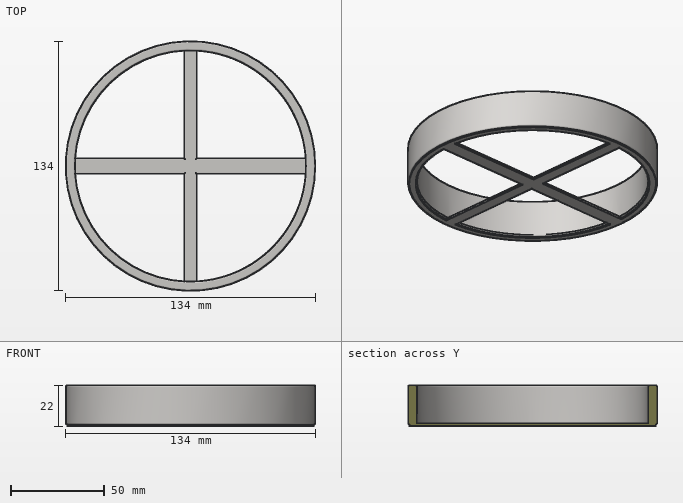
import cadquery as cq

outer_diameter = 134.0
inner_diameter = 124.0
height = 22.0
rim_fillet = 1.0

foot_height = 0.8
foot_inset = 0.8

x_bar_width = 8.5
y_bar_width = 6.8
bar_thickness = 1.6
bar_fillet = 0.7
bar_length = (outer_diameter + inner_diameter) / 2


def make_tube(outer, inner, bottom, top):
    """Plain tube between two heights."""
    base = cq.Workplane("XY", origin=(0, 0, bottom))
    return base.circle(outer / 2).circle(inner / 2).extrude(top - bottom)


def make_ring():
    """Ring wall with all four rims rounded, standing on its narrower foot."""
    wall = make_tube(outer_diameter, inner_diameter, foot_height, height)
    wall = wall.faces(">Z").edges().fillet(rim_fillet)
    wall = wall.faces("<Z").edges().fillet(foot_inset)
    foot = make_tube(
        outer_diameter - 2 * foot_inset, inner_diameter + 2 * foot_inset, 0, foot_height
    )
    return wall.union(foot)


def make_cross():
    """Two crossing bars with rounded upper edges."""
    centered = (True, True, False)
    x_bar = cq.Workplane("XY").box(bar_length, x_bar_width, bar_thickness, centered=centered)
    y_bar = cq.Workplane("XY").box(y_bar_width, bar_length, bar_thickness, centered=centered)
    return x_bar.union(y_bar).faces(">Z").edges().fillet(bar_fillet)


result = make_ring().union(make_cross())